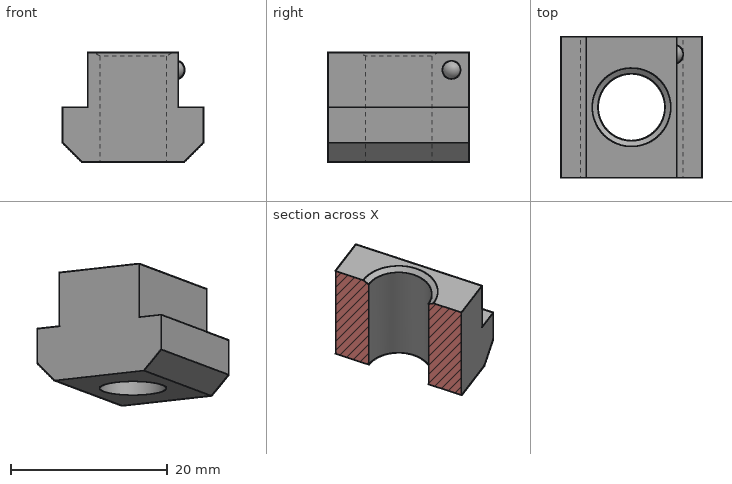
import cadquery as cq
import math

length = 18.0
base_width = 18.0
height = 14.0
neck_width = 11.6
base_height = 7.02
bottom_chamfer = 2.5

hole_diameter = 8.5
countersink_diameter = 10.0
countersink_angle = 120.0

ball_radius = 1.25
ball_protrusion = 0.8
ball_y = 6.75
ball_z = 11.75


def make_body():
    """T-shaped profile with chamfered lower edges, extruded along Y."""
    half_base = base_width / 2
    half_neck = neck_width / 2
    half_floor = half_base - bottom_chamfer
    right_side = [
        (half_floor, 0),
        (half_base, bottom_chamfer),
        (half_base, base_height),
        (half_neck, base_height),
        (half_neck, height),
    ]
    left_side = [(-x, z) for x, z in reversed(right_side)]
    profile = cq.Workplane("XZ", origin=(0, length / 2, 0)).polyline(right_side + left_side).close()
    return profile.extrude(length)


def make_hole_cutter():
    """Solid of the through bore, opening into a cone at the top face."""
    bore_radius = hole_diameter / 2
    mouth_radius = countersink_diameter / 2
    countersink_depth = (mouth_radius - bore_radius) / math.tan(math.radians(countersink_angle / 2))
    half_section = [
        (0, 0),
        (bore_radius, 0),
        (bore_radius, height - countersink_depth),
        (mouth_radius, height),
        (0, height),
    ]
    return cq.Workplane("XZ").polyline(half_section).close().revolve(360, (0, 0), (0, 1))


def make_ball():
    """Ball sunk into the neck so that only its cap stands proud."""
    ball_x = neck_width / 2 + ball_protrusion - ball_radius
    ball = cq.Workplane().sphere(ball_radius).rotate((0, 0, 0), (0, 0, 1), 180)
    return ball.translate((ball_x, ball_y, ball_z))


result = make_body().cut(make_hole_cutter()).union(make_ball())